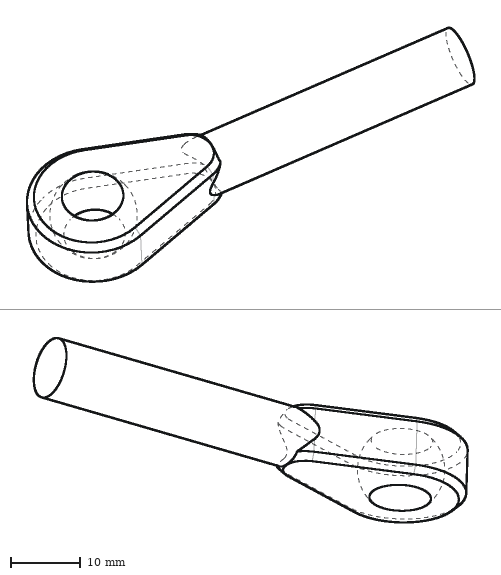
import cadquery as cq
import math

rod_diameter = 8.9
hole_diameter = rod_diameter
thickness = 8.95
eye_radius = 9.5
neck_radius = rod_diameter / 2
neck_distance = 15.9
overall_length = 69.45
chamfer_size = 1.05
tilt_angle = 2.0

tilt = math.radians(tilt_angle)
eye_reach = eye_radius * math.cos(tilt) + (thickness / 2 - chamfer_size) * math.sin(tilt)
rod_reach = overall_length - eye_reach
rod_end = (rod_reach - rod_diameter / 2 * math.sin(tilt)) / math.cos(tilt)


def make_eye():
    """Teardrop plate: two arcs joined by their common tangents, with chamfered rims."""
    flank_angle = math.asin((eye_radius - neck_radius) / neck_distance)
    across = math.cos(flank_angle)
    along = math.sin(flank_angle)
    eye_x = eye_radius * across
    eye_y = eye_radius * along
    neck_x = neck_radius * across
    neck_y = neck_distance + neck_radius * along
    plate = (
        cq.Workplane("XY")
        .workplane(offset=-thickness / 2)
        .moveTo(-eye_x, eye_y)
        .threePointArc((0, -eye_radius), (eye_x, eye_y))
        .lineTo(neck_x, neck_y)
        .threePointArc((0, neck_distance + neck_radius), (-neck_x, neck_y))
        .close()
        .extrude(thickness)
    )
    return plate.faces("|Z").edges().chamfer(chamfer_size)


def make_rod():
    """Round rod along Y, starting inside the neck of the eye."""
    return (
        cq.Workplane("XZ", origin=(0, neck_distance, 0))
        .circle(rod_diameter / 2)
        .extrude(neck_distance - rod_end)
    )


seat_radius = math.hypot(hole_diameter / 2, thickness / 2)
ball_seat = cq.Workplane("XY").sphere(seat_radius)
rod_with_eye = make_eye().union(make_rod()).cut(ball_seat)

result = rod_with_eye.rotate((0, 0, 0), (1, 0, 0), tilt_angle)